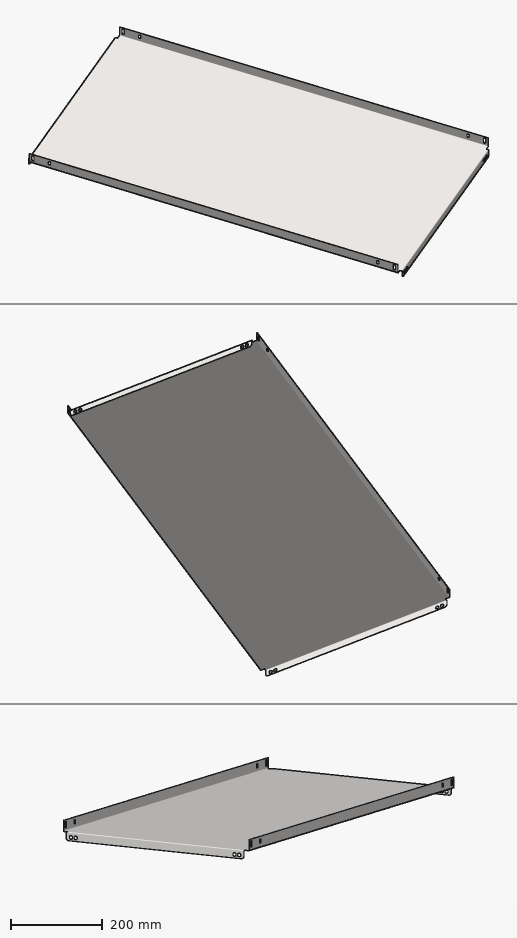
import cadquery as cq

length = 898.0
width = 469.0
height = 43.0

sheet = 1.2
bend_radius = 2.1
side_wall_height = 25.0
end_flange_drop = height - side_wall_height + sheet
side_wall_length = 885.0
end_flange_width = 448.0
wall_corner_radius = 2.0
flange_corner_radius = 6.0

slot_width = 5.0
end_slot_height = 14.0
end_slot_x = 434.0
inner_slot_height = 9.0
inner_slot_x = 394.0
slot_z = 14.0

hole_diameter = 8.0
hole_positions = (200.0, 212.0)
hole_height = 8.0

floor_bottom = 0.0
flange_bottom = sheet - end_flange_drop


def folded_channel(plane, span, leg, direction, depth):
    """Sheet channel centred on Z, with legs rising (+1) or hanging (-1)."""
    half = span / 2
    web_outside = floor_bottom if direction > 0 else floor_bottom + sheet
    web_inside = web_outside + direction * sheet
    tip = web_outside + direction * leg
    bend_start = web_outside + direction * bend_radius
    diagonal = 0.5**0.5
    flat_half = half - bend_radius
    inner_radius = bend_radius - sheet

    def bend_middle(side, radius):
        return (side * (flat_half + radius * diagonal), bend_start - direction * radius * diagonal)

    return (
        cq.Workplane(plane)
        .moveTo(-half, tip)
        .lineTo(-half, bend_start)
        .threePointArc(bend_middle(-1, bend_radius), (-flat_half, web_outside))
        .lineTo(flat_half, web_outside)
        .threePointArc(bend_middle(1, bend_radius), (half, bend_start))
        .lineTo(half, tip)
        .lineTo(half - sheet, tip)
        .lineTo(half - sheet, bend_start)
        .threePointArc(bend_middle(1, inner_radius), (flat_half, web_inside))
        .lineTo(-flat_half, web_inside)
        .threePointArc(bend_middle(-1, inner_radius), (-half + sheet, bend_start))
        .lineTo(-half + sheet, tip)
        .close()
        .extrude(depth / 2, both=True)
    )


def side_wall_slots():
    """Upright slots passing through both side walls."""
    slots = cq.Workplane("XZ")
    for x, slot_height in ((end_slot_x, end_slot_height), (inner_slot_x, inner_slot_height)):
        slots = slots.pushPoints([(-x, slot_z), (x, slot_z)]).slot2D(slot_height, slot_width, 90)
    return slots.extrude(width, both=True)


def end_flange_holes():
    """Round holes passing through both end flanges."""
    positions = [side * y for y in hole_positions for side in (-1, 1)]
    hole_z = flange_bottom + hole_height
    return (
        cq.Workplane("YZ")
        .pushPoints([(y, hole_z) for y in positions])
        .circle(hole_diameter / 2)
        .extrude(length, both=True)
    )


side_walls = folded_channel("YZ", width, side_wall_height, 1, side_wall_length)
end_flanges = folded_channel("XZ", length, end_flange_drop, -1, end_flange_width)

side_walls = side_walls.edges("|Y and >Z").edges("<X or >X").fillet(wall_corner_radius)
end_flanges = end_flanges.edges("|X and <Z").fillet(flange_corner_radius)

result = side_walls.cut(side_wall_slots()).union(end_flanges.cut(end_flange_holes()))